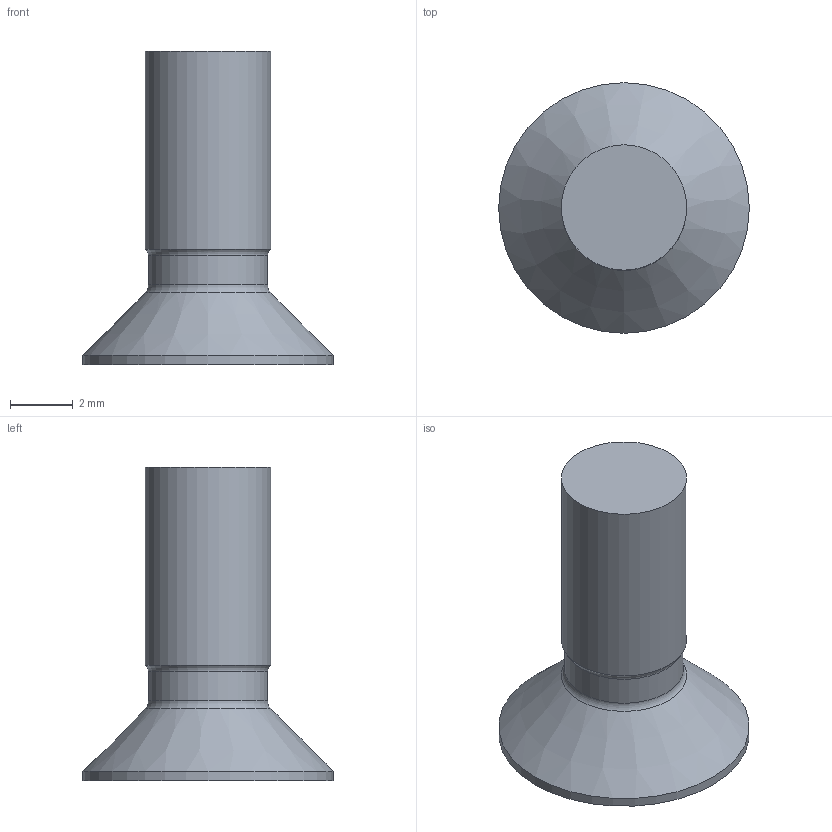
import cadquery as cq
import math

TOTAL_HEIGHT = 10.0
HEAD_RADIUS = 4.0
SHANK_RADIUS = 2.0

RIM_HEIGHT = 0.3
CONE_SLOPE = math.radians(45)
HEAD_FILLET = 0.35

NECK_RADIUS = 1.9
SHANK_START_HEIGHT = 3.68
SHANK_FILLET = 0.25


def arc_point(center_r, center_z, radius, angle):
    """Point (r, z) on an arc; angle is measured from the inward radial direction, positive upward."""
    return (center_r - radius * math.cos(angle), center_z + radius * math.sin(angle))


def half_profile():
    """Closed half section in the (r, z) plane, with the screw axis at r = 0."""
    fillet_r = NECK_RADIUS + HEAD_FILLET
    cone_end_r = fillet_r - HEAD_FILLET * math.cos(CONE_SLOPE)
    cone_end_z = RIM_HEIGHT + (HEAD_RADIUS - cone_end_r) * math.tan(CONE_SLOPE)
    neck_bottom_z = cone_end_z + HEAD_FILLET * math.sin(CONE_SLOPE)
    head_fillet_mid = arc_point(fillet_r, neck_bottom_z, HEAD_FILLET, -CONE_SLOPE / 2)

    step = SHANK_RADIUS - NECK_RADIUS
    step_angle = math.acos(1 - step / SHANK_FILLET)
    neck_top_z = SHANK_START_HEIGHT - SHANK_FILLET * math.sin(step_angle)
    shank_fillet_mid = arc_point(NECK_RADIUS + SHANK_FILLET, neck_top_z, SHANK_FILLET, step_angle / 2)

    return (
        cq.Workplane("XZ")
        .moveTo(0, 0)
        .lineTo(HEAD_RADIUS, 0)
        .lineTo(HEAD_RADIUS, RIM_HEIGHT)
        .lineTo(cone_end_r, cone_end_z)
        .threePointArc(head_fillet_mid, (NECK_RADIUS, neck_bottom_z))
        .lineTo(NECK_RADIUS, neck_top_z)
        .threePointArc(shank_fillet_mid, (SHANK_RADIUS, SHANK_START_HEIGHT))
        .lineTo(SHANK_RADIUS, TOTAL_HEIGHT)
        .lineTo(0, TOTAL_HEIGHT)
        .close()
    )


def countersunk_pin():
    """Solid of revolution about Z, turned so its seam lies on the -Y side."""
    body = half_profile().revolve(360, (0, 0, 0), (0, 1, 0))
    return body.rotate((0, 0, 0), (0, 0, 1), -90)


result = countersunk_pin()